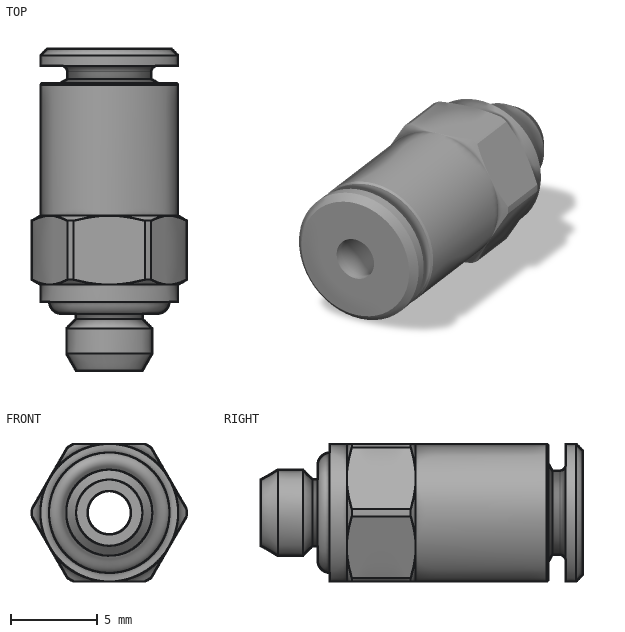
import cadquery as cq
import math


bore_diameter = 2.5

thread_diameter = 5.0
relief_diameter = 3.9
thread_end_y = -4.0
tip_taper_length = 1.0
tip_taper_angle = 30.0
thread_length = 1.45
relief_cone_length = 0.55

seal_outer_diameter = 7.0
seal_section_radius = 0.75
seal_height = 0.7

body_diameter = 8.0
body_end_y = 12.7
body_chamfer = 0.1

hex_sides = 6
hex_across_flats = 8.0
hex_corner_diameter = 9.0
hex_start_y = 1.0
hex_length = 4.0
hex_chamfer_angle = 30.0

collar_neck_diameter = 4.9
collar_flange_diameter = 8.0
collar_end_y = 14.7
collar_flange_thickness = 1.0
collar_chamfer = 0.4
collar_fillet_radius = 0.33
collar_cone_length = 0.23
collar_cone_depth = 0.4


def revolve_about_y(profile):
    """Turn a closed (radius, Y) profile a full circle about the Y axis."""
    return profile.close().revolve(360, (0, 0, 0), (0, 1, 0))


def make_threaded_end():
    """Plain thread envelope with a tapered tip and a relief neck behind it."""
    thread_radius = thread_diameter / 2
    relief_radius = relief_diameter / 2
    tip_radius = thread_radius - tip_taper_length * math.tan(math.radians(tip_taper_angle))
    thread_start_y = thread_end_y + tip_taper_length
    thread_stop_y = thread_start_y + thread_length
    relief_y = thread_stop_y + relief_cone_length
    return revolve_about_y(
        cq.Workplane("XY")
        .moveTo(0, thread_end_y)
        .lineTo(tip_radius, thread_end_y)
        .lineTo(thread_radius, thread_start_y)
        .lineTo(thread_radius, thread_stop_y)
        .lineTo(relief_radius, relief_y)
        .lineTo(relief_radius, 0)
        .lineTo(0, 0)
    )


def make_seal_ring():
    """Round-section ring partly sunk into the seat."""
    section_center_radius = seal_outer_diameter / 2 - seal_section_radius
    section_center_y = seal_section_radius - seal_height
    return (
        cq.Workplane("XY")
        .center(section_center_radius, section_center_y)
        .circle(seal_section_radius)
        .revolve(360, (-section_center_radius, 0, 0), (-section_center_radius, 1, 0))
    )


def make_body():
    """Cylindrical body with a small edge break at the collar end."""
    body_radius = body_diameter / 2
    return revolve_about_y(
        cq.Workplane("XY")
        .moveTo(0, 0)
        .lineTo(body_radius, 0)
        .lineTo(body_radius, body_end_y - body_chamfer)
        .lineTo(body_radius - body_chamfer, body_end_y)
        .lineTo(0, body_end_y)
    )


def make_hexagon():
    """Hexagon with flats facing +Z and -Z, its corners turned and chamfered."""
    hex_end_y = hex_start_y + hex_length
    flat_radius = hex_across_flats / 2
    corner_radius = hex_corner_diameter / 2
    chamfer_length = (corner_radius - flat_radius) * math.tan(math.radians(hex_chamfer_angle))
    across_corners = hex_across_flats / math.cos(math.pi / hex_sides)
    prism = (
        cq.Workplane("XZ", origin=(0, hex_start_y, 0))
        .polygon(hex_sides, across_corners)
        .extrude(-hex_length)
    )
    turned_blank = revolve_about_y(
        cq.Workplane("XY")
        .moveTo(0, hex_start_y)
        .lineTo(flat_radius, hex_start_y)
        .lineTo(corner_radius, hex_start_y + chamfer_length)
        .lineTo(corner_radius, hex_end_y - chamfer_length)
        .lineTo(flat_radius, hex_end_y)
        .lineTo(0, hex_end_y)
    )
    return prism.intersect(turned_blank)


def make_release_collar():
    """Neck rising from a short cone and ending in a chamfered push flange."""
    neck_radius = collar_neck_diameter / 2
    flange_radius = collar_flange_diameter / 2
    flange_start_y = collar_end_y - collar_flange_thickness
    return revolve_about_y(
        cq.Workplane("XY")
        .moveTo(0, body_end_y)
        .lineTo(neck_radius + collar_cone_depth, body_end_y)
        .lineTo(neck_radius, body_end_y + collar_cone_length)
        .lineTo(neck_radius, flange_start_y - collar_fillet_radius)
        .radiusArc((neck_radius + collar_fillet_radius, flange_start_y), collar_fillet_radius)
        .lineTo(flange_radius, flange_start_y)
        .lineTo(flange_radius, collar_end_y - collar_chamfer)
        .lineTo(flange_radius - collar_chamfer, collar_end_y)
        .lineTo(0, collar_end_y)
    )


def make_bore():
    """Cylinder that clears the bore through the whole length."""
    return (
        cq.Workplane("XZ", origin=(0, thread_end_y, 0))
        .circle(bore_diameter / 2)
        .extrude(thread_end_y - collar_end_y)
    )


result = (
    make_body()
    .union(make_hexagon())
    .union(make_threaded_end())
    .union(make_seal_ring())
    .union(make_release_collar())
    .cut(make_bore())
)